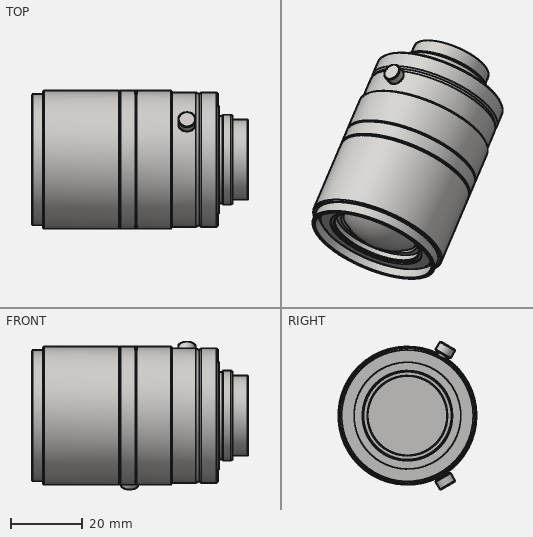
import cadquery as cq
import math

total_length = 60.8

rim_radius = 18.5
rim_chamfer = 0.3
barrel_start = 3.05
barrel_diameter = 39.0
barrel_radius = barrel_diameter / 2
barrel_front_chamfer = 0.35
barrel_end = 39.55
barrel_end_chamfer = 0.5

groove_radius = 18.5
front_groove_start = 24.6
front_groove_width = 0.35
front_groove_chamfer = 0.1
rear_groove_start = 29.0
rear_groove_width = 0.5
groove_cutter_overlap = 0.6

band_radius = 19.0
v_groove_start = 46.1
v_groove_bottom = 47.1
v_groove_end = 47.6
v_groove_radius = 18.5
collar_end = 52.35
collar_chamfer = 0.5

shoulder_radius = 15.0
shoulder_end = 52.7
neck_radius = 12.35
flange_start = 53.5
flange_radius = 12.7
flange_end = 56.55
flange_front_chamfer = 0.35
flange_rear_chamfer_length = 0.65
mount_radius = 11.3
mount_chamfer = 0.2

mouth_radius = 17.6
mouth_chamfer = 0.2
moat_depth = 3.05
face_ring_radius = 16.85
face_ring_chamfer = 0.2
face_ring_depth = 2.25
step_outer_radius = 13.8
step_inner_radius = 13.6
well_mouth_depth = 2.7
well_radius = 12.65
well_mouth_chamfer = 0.25
well_depth = 4.5
cone_radius = 11.45
lens_radius = 10.95
lens_edge_depth = 5.1
lens_bulge = 4.25

knob_radius = 2.5
knob_base = 19.9
knob_top = 22.75
knob_chamfer = 0.21
stem_radius = 1.2
stem_base = 18.25
knob_tilt = 30.0
upper_knob_x = 43.6
lower_knob_x = 27.5


def make_body():
    """Revolve the half section of the lens barrel about the X axis."""
    lens_chord_middle = lens_radius / 2
    sphere_radius = (lens_radius**2 + lens_bulge**2) / (2 * lens_bulge)
    sphere_center = lens_edge_depth - lens_bulge + sphere_radius
    lens_middle_x = sphere_center - math.sqrt(sphere_radius**2 - lens_chord_middle**2)
    section = (
        cq.Workplane("XY")
        .moveTo(lens_edge_depth - lens_bulge, 0)
        .threePointArc((lens_middle_x, lens_chord_middle), (lens_edge_depth, lens_radius))
        .lineTo(well_depth, cone_radius)
        .lineTo(well_depth, well_radius)
        .lineTo(well_mouth_depth + well_mouth_chamfer, well_radius)
        .lineTo(well_mouth_depth, well_radius + well_mouth_chamfer)
        .lineTo(well_mouth_depth, step_inner_radius)
        .lineTo(face_ring_depth, step_outer_radius)
        .lineTo(face_ring_depth, face_ring_radius - face_ring_chamfer)
        .lineTo(face_ring_depth + face_ring_chamfer, face_ring_radius)
        .lineTo(moat_depth, face_ring_radius)
        .lineTo(moat_depth, mouth_radius)
        .lineTo(mouth_chamfer, mouth_radius)
        .lineTo(0, mouth_radius + mouth_chamfer)
        .lineTo(0, rim_radius - rim_chamfer)
        .lineTo(rim_chamfer, rim_radius)
        .lineTo(barrel_start, rim_radius)
        .lineTo(barrel_start, barrel_radius - barrel_front_chamfer)
        .lineTo(barrel_start + barrel_front_chamfer, barrel_radius)
        .lineTo(barrel_end - barrel_end_chamfer, barrel_radius)
        .lineTo(barrel_end, band_radius)
        .lineTo(v_groove_start, band_radius)
        .lineTo(v_groove_bottom, v_groove_radius)
        .lineTo(v_groove_end, band_radius)
        .lineTo(collar_end - collar_chamfer, band_radius)
        .lineTo(collar_end, band_radius - collar_chamfer)
        .lineTo(collar_end, shoulder_radius)
        .lineTo(shoulder_end, shoulder_radius)
        .lineTo(shoulder_end, neck_radius)
        .lineTo(flange_start, neck_radius)
        .lineTo(flange_start + flange_front_chamfer, flange_radius)
        .lineTo(flange_end - flange_rear_chamfer_length, flange_radius)
        .lineTo(flange_end, neck_radius)
        .lineTo(flange_end, mount_radius)
        .lineTo(total_length - mount_chamfer, mount_radius)
        .lineTo(total_length, mount_radius - mount_chamfer)
        .lineTo(total_length, 0)
        .close()
    )
    return section.revolve(360, (0, 0, 0), (1, 0, 0))


def make_groove(start, width, chamfer=0):
    """Ring to be cut from the main barrel, optionally widening at the barrel surface."""
    end = start + width
    cutter_radius = barrel_radius + groove_cutter_overlap
    groove = (
        cq.Workplane("XY")
        .moveTo(start, groove_radius)
        .lineTo(end, groove_radius)
        .lineTo(end, cutter_radius)
        .lineTo(start, cutter_radius)
        .close()
        .revolve(360, (0, 0, 0), (1, 0, 0))
    )
    if chamfer:
        groove_mouth = (
            cq.Workplane("XY")
            .moveTo(start, barrel_radius - chamfer)
            .lineTo(end, barrel_radius - chamfer)
            .lineTo(end + chamfer, barrel_radius)
            .lineTo(start - chamfer, barrel_radius)
            .close()
            .revolve(360, (0, 0, 0), (1, 0, 0))
        )
        groove = groove.union(groove_mouth)
    return groove


def make_knob(x, side):
    """Knob on a thin stem, tilted from the Z axis toward +Y; side is +1 above, -1 below."""
    tilt = math.radians(knob_tilt)
    outward = (0, math.sin(tilt), side * math.cos(tilt))
    knob_plane = cq.Plane(origin=(x, 0, 0), xDir=(1, 0, 0), normal=outward)
    stem = (
        cq.Workplane(knob_plane)
        .workplane(offset=stem_base)
        .circle(stem_radius)
        .extrude(knob_base - stem_base)
    )
    head = (
        cq.Workplane(knob_plane)
        .workplane(offset=knob_base)
        .circle(knob_radius)
        .extrude(knob_top - knob_base)
        .edges()
        .chamfer(knob_chamfer)
    )
    return stem.union(head)


result = make_body()
result = result.cut(make_groove(front_groove_start, front_groove_width, front_groove_chamfer))
result = result.cut(make_groove(rear_groove_start, rear_groove_width))
result = result.union(make_knob(upper_knob_x, 1)).union(make_knob(lower_knob_x, -1))